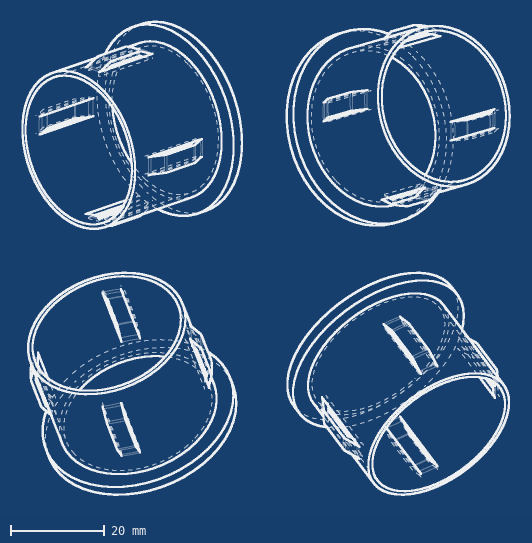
import cadquery as cq
import math

flange_diameter = 42.4
flange_thickness = 2.5
overall_length = 28.2
tube_diameter = 35.0
wall = 1.0

tab_count = 4
tab_width = 4.1
tab_length = 16.0
tab_crest_length = 8.0
tab_center = 12.0
bend_radius = 1.5
bend_angle = math.radians(25)

tube_radius = tube_diameter / 2
bore_radius = tube_radius - wall
floor_position = overall_length - flange_thickness

ramp_run = (tab_length - tab_crest_length) / 2
straight_run = ramp_run - 2 * bend_radius * math.sin(bend_angle)
bend_rise = bend_radius * (1 - math.cos(bend_angle))
tab_rise = straight_run * math.tan(bend_angle) + 2 * bend_rise


def cap_body():
    """Tube with a flange, bored from the open end down to the floor."""
    tube = cq.Workplane("XZ").circle(tube_radius).extrude(-overall_length)
    flange = (
        cq.Workplane("XZ", origin=(0, floor_position, 0))
        .circle(flange_diameter / 2)
        .extrude(-flange_thickness)
    )
    bore = cq.Workplane("XZ").circle(bore_radius).extrude(-floor_position)
    return tube.union(flange).cut(bore)


def bend_point(center, radius, angle, side):
    """Point (radial, axial) on a bend; side is +1 on a crest bend and -1 on a foot bend.

    The center holds the radial and axial place and the Y direction (+1 or -1) toward the foot.
    """
    radial, axial, toward_foot = center
    return (
        radial + side * radius * math.cos(angle),
        axial + side * toward_foot * radius * math.sin(angle),
    )


def half_strip(direction):
    """Outline of one half of the bent strip, from its middle to the foot on the given Y side."""
    crest_axial = tab_center + direction * tab_crest_length / 2
    foot_axial = tab_center + direction * tab_length / 2
    crest_center = (tube_radius + tab_rise - bend_radius, crest_axial, direction)
    foot_center = (tube_radius + bend_radius, foot_axial, direction)
    inner_crest_radius = bend_radius - wall
    inner_foot_radius = bend_radius + wall
    half_angle = bend_angle / 2

    return (
        cq.Workplane("XY")
        .moveTo(tube_radius + tab_rise, tab_center)
        .lineTo(*bend_point(crest_center, bend_radius, 0, 1))
        .threePointArc(
            bend_point(crest_center, bend_radius, half_angle, 1),
            bend_point(crest_center, bend_radius, bend_angle, 1),
        )
        .lineTo(*bend_point(foot_center, bend_radius, bend_angle, -1))
        .threePointArc(
            bend_point(foot_center, bend_radius, half_angle, -1),
            bend_point(foot_center, bend_radius, 0, -1),
        )
        .lineTo(bore_radius, foot_axial)
        .threePointArc(
            bend_point(foot_center, inner_foot_radius, half_angle, -1),
            bend_point(foot_center, inner_foot_radius, bend_angle, -1),
        )
        .lineTo(*bend_point(crest_center, inner_crest_radius, bend_angle, 1))
        .threePointArc(
            bend_point(crest_center, inner_crest_radius, half_angle, 1),
            bend_point(crest_center, inner_crest_radius, 0, 1),
        )
        .lineTo(tube_radius + tab_rise - wall, tab_center)
        .close()
    )


def window_block():
    """Block at +X that outlines one window and the sides of its tab."""
    reach = flange_diameter / 2
    return cq.Workplane("XY").box(reach, tab_length, tab_width).translate((reach / 2, tab_center, 0))


def bent_tab(window):
    """Bent strip at +X, curved around the tube axis and trimmed to the window."""
    axis = ((0, 0), (0, 1))
    ring = half_strip(1).revolve(360, *axis).union(half_strip(-1).revolve(360, *axis))
    return ring.intersect(window)


window = window_block()
tab = bent_tab(window)

result = cap_body()
for index in range(tab_count):
    turn = index * 360 / tab_count
    result = result.cut(window.rotate((0, 0, 0), (0, 1, 0), turn))
    result = result.union(tab.rotate((0, 0, 0), (0, 1, 0), turn))